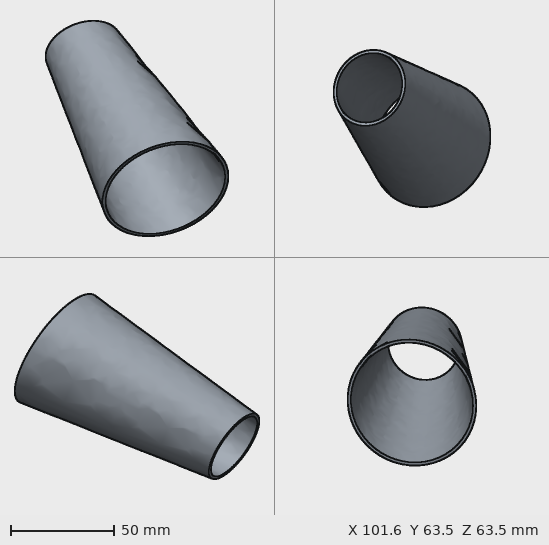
import cadquery as cq

INCH = 25.4
length = 4.0 * INCH
large_diameter = 2.5 * INCH
small_diameter = 1.5 * INCH
wall = 0.065 * INCH

eccentricity = (large_diameter - small_diameter) / 2


def oblique_cone(wall_offset):
    """Solid between the two end circles, each shrunk inward by wall_offset."""
    small_radius = small_diameter / 2 - wall_offset
    large_radius = large_diameter / 2 - wall_offset
    return (
        cq.Workplane("YZ")
        .center(-eccentricity, 0)
        .circle(small_radius)
        .workplane(offset=length)
        .center(eccentricity, 0)
        .circle(large_radius)
        .loft(ruled=True, combine=True)
    )


outer_body = oblique_cone(0)
bore = oblique_cone(wall)
result = outer_body.cut(bore)